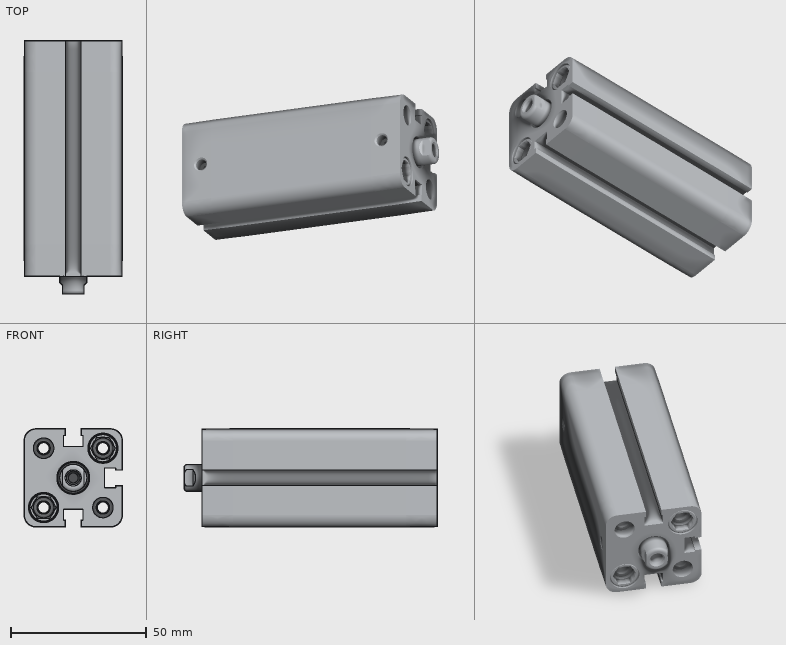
import cadquery as cq
import math

BODY_WIDTH = 36.3
TOTAL_LENGTH = 93.6
ROD_LENGTH = 6.55
BODY_LENGTH = TOTAL_LENGTH - ROD_LENGTH
HALF_WIDTH = BODY_WIDTH / 2
CORNER_RADIUS = 4.4

CAP_LENGTH = 11.6
CAP_TAPER_ANGLE = 0.6

SLOT_NECK_WIDTH = 5.8
SLOT_NECK_DEPTH = 2.5
SLOT_WIDTH = 7.1
SLOT_DEPTH = 6.55

HOLE_OFFSET = 10.95
HOLE_DIAMETER = 4.1
HOLE_MOUTH_DIAMETER = 5.0
COUNTERBORE_DIAMETER = 7.6
COUNTERBORE_DEPTH = 4.5

RECESS_DIAMETER = 11.1
RECESS_DEPTH = 0.5
HEAD_DIAMETER = 10.8
HEAD_FACE_DIAMETER = 10.0
SOCKET_HEX_WIDTH = 8.0
SOCKET_ROUND_DIAMETER = 8.2
SOCKET_DEPTH = 3.2

ROD_DIAMETER = 10.0
ROD_END_RADIUS = 1.2
ROD_BORE_DIAMETER = 11.4
ROD_BORE_CHAMFER = 0.4
ROD_BORE_DEPTH = 2.8
FLAT_WIDTH = 8.0
FLAT_LENGTH = 3.3
ROD_HOLE_MOUTH_DIAMETER = 6.0
ROD_HOLE_DIAMETER = 5.0
ROD_HOLE_FLOOR_DIAMETER = 3.65
ROD_HOLE_DEPTH = 11.2

PORT_END_DISTANCE = 7.5
PORT_MOUTH_DIAMETER = 5.3
PORT_DIAMETER = 4.1
PORT_DEPTH = 4.7
PORT_BORE_DIAMETER = 1.8
PORT_BORE_DEPTH = 7.5


def turned_along_y(x, z, profile):
    """Solid of revolution about a Y-parallel axis through (x, z).

    The profile lists (diameter, y) pairs from front to back.
    """
    points = [(diameter / 2, y) for diameter, y in profile]
    outline = [(0, profile[0][1])] + points + [(0, profile[-1][1])]
    turned = cq.Workplane("XY").polyline(outline).close().revolve(360, (0, 0, 0), (0, 1, 0))
    return turned.translate((x, 0, z))


def chamfer_depth(mouth_diameter, diameter):
    """Depth of a 45 degree chamfer between two diameters."""
    return (mouth_diameter - diameter) / 2


def make_body():
    """Straight middle with a tapered cap at each end."""
    middle_length = BODY_LENGTH - 2 * CAP_LENGTH
    outline = cq.Sketch().rect(BODY_WIDTH, BODY_WIDTH).vertices().fillet(CORNER_RADIUS)
    middle = cq.Workplane("XZ").placeSketch(outline).extrude(middle_length / 2, both=True)
    cap = cq.Workplane("XZ", origin=(0, -middle_length / 2, 0)).placeSketch(outline)
    front_cap = cap.extrude(CAP_LENGTH, taper=CAP_TAPER_ANGLE)
    body = middle.union(front_cap).union(front_cap.mirror("XZ"))
    return body.translate((0, BODY_LENGTH / 2, 0))


def make_top_slot():
    neck = cq.Workplane("XY").box(SLOT_NECK_WIDTH, BODY_LENGTH, SLOT_DEPTH, centered=(True, False, False))
    channel_height = SLOT_DEPTH - SLOT_NECK_DEPTH
    channel = cq.Workplane("XY").box(SLOT_WIDTH, BODY_LENGTH, channel_height, centered=(True, False, False))
    return neck.union(channel).translate((0, 0, HALF_WIDTH - SLOT_DEPTH))


def make_through_hole(x, z, seat_depth):
    """Through hole with a chamfered mouth on a seat below the front face."""
    straight_start = seat_depth + chamfer_depth(HOLE_MOUTH_DIAMETER, HOLE_DIAMETER)
    return turned_along_y(x, z, [
        (HOLE_MOUTH_DIAMETER, seat_depth),
        (HOLE_DIAMETER, straight_start),
        (HOLE_DIAMETER, BODY_LENGTH),
    ])


def make_counterbored_hole(x, z):
    counterbore = turned_along_y(x, z, [(COUNTERBORE_DIAMETER, 0), (COUNTERBORE_DIAMETER, COUNTERBORE_DEPTH)])
    return counterbore.union(make_through_hole(x, z, COUNTERBORE_DEPTH))


def make_socket_hole(x, z):
    groove_end = RECESS_DEPTH + chamfer_depth(HEAD_DIAMETER, HEAD_FACE_DIAMETER)
    recess = turned_along_y(x, z, [(RECESS_DIAMETER, 0), (RECESS_DIAMETER, groove_end)])
    head = turned_along_y(x, z, [(HEAD_FACE_DIAMETER, RECESS_DEPTH), (HEAD_DIAMETER, groove_end)])

    round_socket = turned_along_y(x, z, [(SOCKET_ROUND_DIAMETER, 0), (SOCKET_ROUND_DIAMETER, SOCKET_DEPTH)])
    hex_corner_diameter = SOCKET_HEX_WIDTH / math.cos(math.pi / 6)
    hex_socket = cq.Workplane("XZ", origin=(x, 0, z)).polygon(6, hex_corner_diameter).extrude(-SOCKET_DEPTH)
    socket = round_socket.union(hex_socket)
    return recess.cut(head).union(socket).union(make_counterbored_hole(x, z))


def make_rod_bore():
    return turned_along_y(0, 0, [
        (ROD_BORE_DIAMETER + 2 * ROD_BORE_CHAMFER, 0),
        (ROD_BORE_DIAMETER, ROD_BORE_CHAMFER),
        (ROD_BORE_DIAMETER, ROD_BORE_DEPTH),
    ])


def make_rod():
    """Rod from the bore floor to its tip, with two wrench flats."""
    rod = turned_along_y(0, 0, [(ROD_DIAMETER, -ROD_LENGTH), (ROD_DIAMETER, ROD_BORE_DEPTH)])
    rod = rod.faces("<Y").edges().fillet(ROD_END_RADIUS)

    flat_cut_depth = (ROD_DIAMETER - FLAT_WIDTH) / 2
    flat_end = FLAT_LENGTH - ROD_LENGTH
    flat_outline = [
        (FLAT_WIDTH / 2, -ROD_LENGTH),
        (FLAT_WIDTH / 2, flat_end),
        (ROD_DIAMETER / 2, flat_end + flat_cut_depth),
        (ROD_DIAMETER / 2, -ROD_LENGTH),
    ]
    flat_cut = cq.Workplane("XY").polyline(flat_outline).close().extrude(ROD_DIAMETER / 2, both=True)
    return rod.cut(flat_cut).cut(flat_cut.mirror("YZ"))


def make_rod_hole():
    """Hole in the rod tip with a chamfered mouth and a bevelled floor edge."""
    hole_end = ROD_HOLE_DEPTH - ROD_LENGTH
    return turned_along_y(0, 0, [
        (ROD_HOLE_MOUTH_DIAMETER, -ROD_LENGTH),
        (ROD_HOLE_DIAMETER, -ROD_LENGTH + chamfer_depth(ROD_HOLE_MOUTH_DIAMETER, ROD_HOLE_DIAMETER)),
        (ROD_HOLE_DIAMETER, hole_end - chamfer_depth(ROD_HOLE_DIAMETER, ROD_HOLE_FLOOR_DIAMETER)),
        (ROD_HOLE_FLOOR_DIAMETER, hole_end),
    ])


def make_port(y):
    port_profile = [
        (PORT_MOUTH_DIAMETER, 0),
        (PORT_DIAMETER, chamfer_depth(PORT_MOUTH_DIAMETER, PORT_DIAMETER)),
        (PORT_DIAMETER, PORT_DEPTH),
        (PORT_BORE_DIAMETER, PORT_DEPTH),
        (PORT_BORE_DIAMETER, PORT_BORE_DEPTH),
    ]
    port = turned_along_y(0, 0, port_profile).rotate((0, 0, 0), (0, 0, 1), -90)
    return port.translate((-HALF_WIDTH, y, 0))


result = make_body()

top_slot = make_top_slot()
for slot_angle in (0, 90, 180):
    result = result.cut(top_slot.rotate((0, 0, 0), (0, 1, 0), slot_angle))

for side in (-1, 1):
    result = result.cut(make_socket_hole(side * HOLE_OFFSET, side * HOLE_OFFSET))
    result = result.cut(make_counterbored_hole(side * HOLE_OFFSET, -side * HOLE_OFFSET))

for port_y in (PORT_END_DISTANCE, BODY_LENGTH - PORT_END_DISTANCE):
    result = result.cut(make_port(port_y))

result = result.cut(make_rod_bore()).union(make_rod()).cut(make_rod_hole())